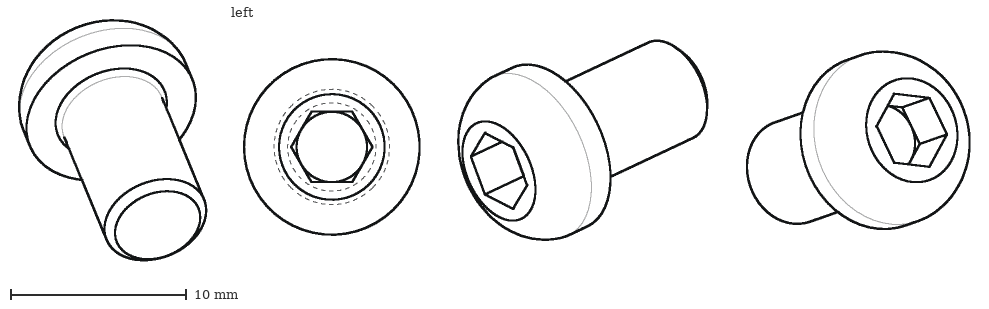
import cadquery as cq
import math

total_length = 14.0
head_diameter = 10.0
head_height = 4.0
rim_height = 1.51
dome_radius = 3.15
face_diameter = 6.0
shank_diameter = 6.0
tip_chamfer = 0.49
neck_length = 0.38
neck_rise = 0.28

hex_across_flats = 4.0
hex_depth = 3.08
drill_point_angle = 120.0

head_radius = head_diameter / 2
face_radius = face_diameter / 2
shank_radius = shank_diameter / 2
face_x = -total_length / 2
tip_x = total_length / 2
head_back_x = face_x + head_height
rim_x = head_back_x - rim_height

neck_radius = (neck_length**2 + neck_rise**2) / (2 * neck_rise)


def make_body():
    """Revolve the half outline of head, neck fillet and shank about X."""
    return (
        cq.Workplane("XY")
        .moveTo(face_x, 0)
        .lineTo(face_x, face_radius)
        .radiusArc((rim_x, head_radius), dome_radius)
        .lineTo(head_back_x, head_radius)
        .lineTo(head_back_x, shank_radius + neck_rise)
        .radiusArc((head_back_x + neck_length, shank_radius), -neck_radius)
        .lineTo(tip_x - tip_chamfer, shank_radius)
        .lineTo(tip_x, shank_radius - tip_chamfer)
        .lineTo(tip_x, 0)
        .close()
        .revolve(360, (0, 0, 0), (1, 0, 0))
    )


def make_socket():
    """Hexagonal socket, corners toward +Y and -Y, with a conical bottom."""
    across_corners = hex_across_flats / math.cos(math.pi / 6)
    cone_radius = hex_across_flats / 2
    cone_depth = cone_radius / math.tan(math.radians(drill_point_angle / 2))
    floor_x = face_x + hex_depth
    hexagon = (
        cq.Workplane("YZ", origin=(face_x, 0, 0))
        .polygon(6, across_corners)
        .extrude(hex_depth)
    )
    cone = cq.Workplane(
        cq.Solid.makeCone(cone_radius, 0, cone_depth, cq.Vector(floor_x, 0, 0), cq.Vector(1, 0, 0))
    )
    return hexagon.union(cone)


result = make_body().cut(make_socket())